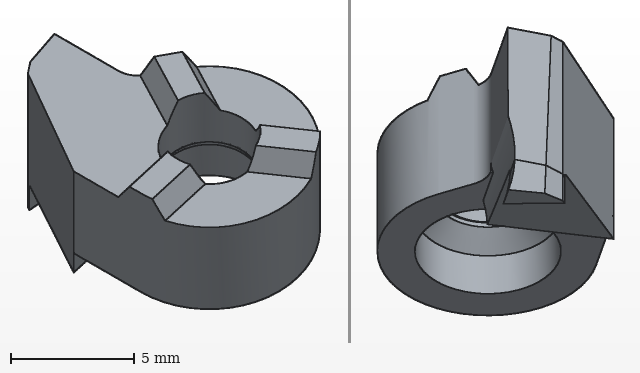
import cadquery as cq
import math

RING_DIAMETER = 9.0
RING_RADIUS = RING_DIAMETER / 2
RING_HEIGHT = 4.86
BORE_RADIUS = 2.08

THROAT_TOP_Z = 2.94
THROAT_RADIUS = 2.13
THROAT_HEIGHT = 0.22
COUNTERBORE_RADIUS = 2.97
SEAT_TOP_Z = THROAT_TOP_Z - THROAT_HEIGHT
COUNTERBORE_TOP_Z = SEAT_TOP_Z - (COUNTERBORE_RADIUS - THROAT_RADIUS)

TOOTH_ANGLES = (30, 150, 270)
TOOTH_HEIGHT = 1.0
TOOTH_TOP_HALF_WIDTH = 0.58
TOOTH_FLANK_ANGLE = 30.0
TOOTH_BASE_HALF_WIDTH = TOOTH_TOP_HALF_WIDTH + TOOTH_HEIGHT * math.tan(math.radians(TOOTH_FLANK_ANGLE))

RAKE_Y = 1.03
HEEL_X = -3.47
NOSE_CORNER = (-8.33, -1.38)
NOSE_BEVEL_ANGLE = 60.0
ARM_TANGENT_ANGLE = 141.7
ARM_FILLET = 1.3

NOSE_TOP_X = -8.85
TOTAL_LENGTH = 13.5
NOSE_TIP_X = RING_RADIUS - TOTAL_LENGTH
NOSE_RELIEF_ANGLE = 6.3

TOTAL_HEIGHT = 9.2
TIP_Z = RING_HEIGHT + TOOTH_HEIGHT - TOTAL_HEIGHT
TIP_SPLIT_Z = -1.74
TIP_SIDE_X = -8.0
TIP_SIDE_RELIEF_ANGLE = 3.6
TIP_END_RELIEF_ANGLE = 6.2
UNDERSIDE_HEEL_Z = -1.17
UNDERSIDE_TIP_Z = -1.57
UNDERSIDE_FILLET = 0.16

GROOVE_TOP_Z = 0.38
GROOVE_DEEP_Z = -1.62
GROOVE_DEPTH = 0.28
GROOVE_UPPER_END_X = -5.44

MARGIN = 2.7


def arm_outline():
    """Plan of the arm, its front end left long for the nose cut, and the X of its inner corner."""
    angle = math.radians(ARM_TANGENT_ANGLE)
    tangent = (RING_RADIUS * math.cos(angle), RING_RADIUS * math.sin(angle))
    back_x = (RING_RADIUS - RAKE_Y * math.sin(angle)) / math.cos(angle)
    bevel_run = (RAKE_Y - NOSE_CORNER[1]) / math.tan(math.radians(NOSE_BEVEL_ANGLE))
    return [
        (0, 0),
        tangent,
        (back_x, RAKE_Y),
        (NOSE_CORNER[0] - bevel_run, RAKE_Y),
        NOSE_CORNER,
        (HEEL_X, -RING_RADIUS),
        (0, -RING_RADIUS),
    ], back_x


def plan_prism(height):
    """Ring and arm plan as one prism standing on Z = 0."""
    points, back_x = arm_outline()
    arm = cq.Workplane("XY").polyline(points).close().extrude(height)
    inner_corner = cq.selectors.NearestToPointSelector((back_x, RAKE_Y, height / 2))
    arm = arm.edges("|Z").edges(inner_corner).fillet(ARM_FILLET)
    return arm.union(cq.Workplane("XY").circle(RING_RADIUS).extrude(height))


def teeth():
    """Radial trapezoid teeth, trimmed to the plan outline."""
    bars = cq.Workplane("XY")
    for angle in TOOTH_ANGLES:
        bar = (
            cq.Workplane("YZ")
            .polyline([
                (-TOOTH_BASE_HALF_WIDTH, RING_HEIGHT),
                (-TOOTH_TOP_HALF_WIDTH, RING_HEIGHT + TOOTH_HEIGHT),
                (TOOTH_TOP_HALF_WIDTH, RING_HEIGHT + TOOTH_HEIGHT),
                (TOOTH_BASE_HALF_WIDTH, RING_HEIGHT),
            ])
            .close()
            .extrude(RING_RADIUS + MARGIN)
            .rotate((0, 0, 0), (0, 0, 1), angle)
        )
        bars = bars.add(bar)
    return bars.combine().intersect(plan_prism(RING_HEIGHT + TOOTH_HEIGHT))


def bore():
    """Through bore with a conical screw seat and counterbore opening at the underside."""
    return (
        cq.Workplane("XZ")
        .polyline([
            (0, 0),
            (COUNTERBORE_RADIUS, 0),
            (COUNTERBORE_RADIUS, COUNTERBORE_TOP_Z),
            (THROAT_RADIUS, SEAT_TOP_Z),
            (THROAT_RADIUS, THROAT_TOP_Z),
            (BORE_RADIUS, THROAT_TOP_Z),
            (BORE_RADIUS, RING_HEIGHT + MARGIN),
            (0, RING_HEIGHT + MARGIN),
        ])
        .close()
        .revolve(360, (0, 0, 0), (0, 1, 0))
    )


def lower_arm():
    """Part of the arm that hangs below the ring."""
    points = [
        (HEEL_X, RAKE_Y),
        *arm_outline()[0][3:6],
    ]
    return cq.Workplane("XY").polyline(points).close().extrude(TIP_Z)


def nose_cut():
    """Removes everything ahead of the leaning front face."""
    lean = (NOSE_TOP_X - NOSE_TIP_X) / (RING_HEIGHT - TIP_Z)
    far_x = NOSE_TIP_X - MARGIN
    top_z = RING_HEIGHT + MARGIN
    bottom_z = TIP_Z - MARGIN
    return (
        cq.Workplane("XZ", origin=(0, RAKE_Y, 0))
        .polyline([
            (far_x, bottom_z),
            (NOSE_TIP_X - MARGIN * lean, bottom_z),
            (NOSE_TOP_X + MARGIN * lean, top_z),
            (far_x, top_z),
        ])
        .close()
        .extrude(RING_RADIUS, both=True)
        .rotate((NOSE_TIP_X, RAKE_Y, 0), (NOSE_TIP_X, RAKE_Y, 1), NOSE_RELIEF_ANGLE)
    )


def underside_cut():
    """Clears the sloped underside and the relieved side of the tip."""
    slope = (UNDERSIDE_HEEL_Z - UNDERSIDE_TIP_Z) / (HEEL_X - TIP_SIDE_X)
    far_x = HEEL_X + MARGIN
    bottom_z = TIP_Z - MARGIN
    cut = (
        cq.Workplane("XZ", origin=(0, RAKE_Y, 0))
        .polyline([
            (TIP_SIDE_X, bottom_z),
            (TIP_SIDE_X, UNDERSIDE_TIP_Z),
            (far_x, UNDERSIDE_HEEL_Z + MARGIN * slope),
            (far_x, bottom_z),
        ])
        .close()
        .extrude(2 * RING_RADIUS, both=True)
    )
    root = cq.selectors.NearestToPointSelector((TIP_SIDE_X, RAKE_Y, UNDERSIDE_TIP_Z))
    cut = cut.edges("|Y").edges(root).fillet(UNDERSIDE_FILLET)
    return cut.rotate((TIP_SIDE_X, RAKE_Y, 0), (TIP_SIDE_X, RAKE_Y, 1), -TIP_SIDE_RELIEF_ANGLE)


def tip_end_cut():
    """End relief, rising from the cutting edge towards the flank."""
    run = RING_RADIUS + RAKE_Y
    rise = run * math.tan(math.radians(TIP_END_RELIEF_ANGLE))
    return (
        cq.Workplane("YZ", origin=(NOSE_TIP_X - MARGIN, 0, 0))
        .polyline([(RAKE_Y, TIP_Z), (-RING_RADIUS, TIP_Z + rise), (-RING_RADIUS, TIP_Z)])
        .close()
        .extrude(2 * MARGIN)
    )


def chip_groove(end_x):
    """Hollow arc along the rake face, from the nose back to end_x."""
    return (
        cq.Workplane("YZ", origin=(end_x, 0, 0))
        .moveTo(RAKE_Y, GROOVE_TOP_Z)
        .threePointArc((RAKE_Y - GROOVE_DEPTH, GROOVE_DEEP_Z), (RAKE_Y, TIP_Z))
        .close()
        .extrude(NOSE_TIP_X - MARGIN - end_x)
    )


def whole_insert():
    """Ring, arm and tip together, before the tip is parted off."""
    return (
        plan_prism(RING_HEIGHT)
        .union(teeth())
        .union(lower_arm().cut(chip_groove(HEEL_X)))
        .cut(bore())
        .cut(nose_cut())
        .cut(underside_cut())
        .cut(tip_end_cut())
        .cut(chip_groove(GROOVE_UPPER_END_X))
    )


def tip_space():
    """Block enclosing everything below the parting plane."""
    size = 2 * (TOTAL_LENGTH + MARGIN)
    return cq.Workplane("XY", origin=(0, 0, TIP_SPLIT_Z)).rect(size, size).extrude(TIP_Z - MARGIN)


insert = whole_insert()
holder_body = insert.cut(tip_space())
cutting_tip = insert.intersect(tip_space())

result = cq.Compound.makeCompound([holder_body.val(), cutting_tip.val()])